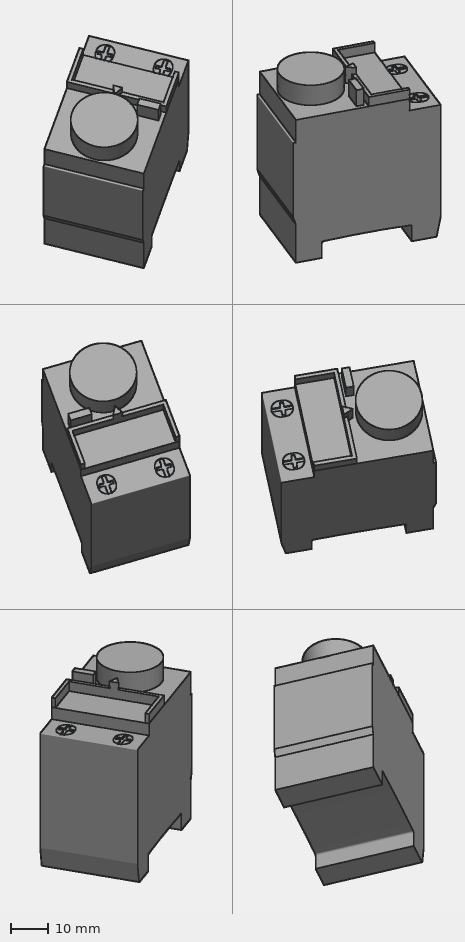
import cadquery as cq


WIDTH = 28.0
DEPTH = 42.5
PANEL_STAND_OUT = 0.75
PANEL_TOP = 37.4
PANEL_BOTTOM = 14.25
PANEL_SLOPE_BOTTOM = 11.9
DECK_Z = 44.45
TERMINAL_Z = 40.8
STEP_Y = 33.45
HEEL_HEIGHT = 6.2
HEEL_SETBACK = 1.2
EDGE_FILLET = 0.15
HEEL_FILLET = 0.4

CHANNEL_FRONT = 8.2
CHANNEL_BACK = 34.15
CHANNEL_EDGE_Z = 5.1
CHANNEL_CROWN_Z = 5.35
CHANNEL_FILLET = 0.55

DIAL_Y = 10.25
DIAL_RADIUS = 9.0
DIAL_TOP = 50.95
NECK_RADIUS = 7.3
NECK_HEIGHT = 0.3

FRAME_FRONT = 21.75
FRAME_WALL = 1.1
FRAME_HEIGHT = 2.9
MARKER_HEIGHT = 5.0
POINTER_WIDTH = 2.65
POINTER_LENGTH = 2.7

INDICATOR_X = 9.75
INDICATOR_Y = 19.7
INDICATOR_LENGTH = 6.0
INDICATOR_DEPTH = 2.15

SCREW_SPACING = 16.4
SCREW_Y = 38.0
SCREW_WIDTH = 5.0
SCREW_LENGTH = 5.9
SCREW_DEPTH = 2.05
SLOT_DEPTH = 0.5
LONG_SLOT_WIDTH = 1.05
CROSS_SLOT_WIDTH = 0.95
CROSS_SLOT_LENGTH = 3.9
CROSS_SLOT_OFFSET = -0.15
SLOT_FILLET = 0.4

screw_positions = [(side * SCREW_SPACING / 2, SCREW_Y) for side in (-1, 1)]


def housing_block():
    """Side outline of the housing, drawn in the YZ plane and extruded across the width."""
    channel_middle = (CHANNEL_FRONT + CHANNEL_BACK) / 2
    block = (
        cq.Workplane("YZ")
        .moveTo(PANEL_STAND_OUT, 0)
        .lineTo(PANEL_STAND_OUT, PANEL_SLOPE_BOTTOM)
        .lineTo(0, PANEL_BOTTOM)
        .lineTo(0, PANEL_TOP)
        .lineTo(PANEL_STAND_OUT, PANEL_TOP)
        .lineTo(PANEL_STAND_OUT, DECK_Z)
        .lineTo(STEP_Y, DECK_Z)
        .lineTo(STEP_Y, TERMINAL_Z)
        .lineTo(DEPTH, TERMINAL_Z)
        .lineTo(DEPTH, HEEL_HEIGHT)
        .lineTo(DEPTH - HEEL_SETBACK, 0)
        .lineTo(CHANNEL_BACK, 0)
        .lineTo(CHANNEL_BACK, CHANNEL_EDGE_Z)
        .threePointArc((channel_middle, CHANNEL_CROWN_Z), (CHANNEL_FRONT, CHANNEL_EDGE_Z))
        .lineTo(CHANNEL_FRONT, 0)
        .close()
        .extrude(WIDTH / 2, both=True)
    )
    rounded_corners = [
        (0, PANEL_TOP, EDGE_FILLET),
        (DEPTH, TERMINAL_Z, EDGE_FILLET),
        (DEPTH - HEEL_SETBACK, 0, HEEL_FILLET),
        (CHANNEL_FRONT, CHANNEL_EDGE_Z, CHANNEL_FILLET),
        (CHANNEL_BACK, CHANNEL_EDGE_Z, CHANNEL_FILLET),
    ]
    for y, z, radius in rounded_corners:
        corner = cq.selectors.NearestToPointSelector((0, y, z))
        block = block.edges("|X").edges(corner).fillet(radius)
    return block


def indicator_block():
    """Small rectangular block that stands on the deck and belongs to the housing."""
    return (
        cq.Workplane("XY", origin=(INDICATOR_X, INDICATOR_Y, DECK_Z))
        .rect(INDICATOR_LENGTH, INDICATOR_DEPTH)
        .extrude(MARKER_HEIGHT)
    )


def screw_blank(x, y):
    """Elongated screw head without slots, which is also the shape of its recess."""
    return (
        cq.Workplane("XY", origin=(x, y, TERMINAL_Z))
        .slot2D(SCREW_LENGTH, SCREW_WIDTH, 90)
        .extrude(-SCREW_DEPTH)
    )


def make_housing():
    """Housing with its indicator block and one fitting recess for each screw."""
    body = housing_block().union(indicator_block())
    for x, y in screw_positions:
        body = body.cut(screw_blank(x, y))
    return body


def make_dial():
    """Round knob on a short, narrower neck that rests on the deck."""
    neck = cq.Workplane("XY", origin=(0, DIAL_Y, DECK_Z)).circle(NECK_RADIUS).extrude(NECK_HEIGHT)
    knob_z = DECK_Z + NECK_HEIGHT
    knob = cq.Workplane("XY", origin=(0, DIAL_Y, knob_z)).circle(DIAL_RADIUS).extrude(DIAL_TOP - knob_z)
    return neck.union(knob)


def make_frame():
    """U-shaped frame, open to the back, with a taller pointer aimed at the dial."""
    inner_y = FRAME_FRONT + FRAME_WALL
    inner_x = WIDTH / 2 - FRAME_WALL
    frame = (
        cq.Workplane("XY", origin=(0, 0, DECK_Z))
        .moveTo(-WIDTH / 2, FRAME_FRONT)
        .lineTo(WIDTH / 2, FRAME_FRONT)
        .lineTo(WIDTH / 2, STEP_Y)
        .lineTo(inner_x, STEP_Y)
        .lineTo(inner_x, inner_y)
        .lineTo(-inner_x, inner_y)
        .lineTo(-inner_x, STEP_Y)
        .lineTo(-WIDTH / 2, STEP_Y)
        .close()
        .extrude(FRAME_HEIGHT)
    )
    pointer = (
        cq.Workplane("XY", origin=(0, inner_y, DECK_Z))
        .moveTo(-POINTER_WIDTH / 2, 0)
        .lineTo(0, -POINTER_LENGTH)
        .lineTo(POINTER_WIDTH / 2, 0)
        .close()
        .extrude(MARKER_HEIGHT)
    )
    return frame.union(pointer)


def make_screw(x, y):
    """Elongated screw head, flush with the terminal ledge, with a crossed driver recess."""
    top = cq.Workplane("XY", origin=(x, y, TERMINAL_Z))
    long_slot = top.rect(LONG_SLOT_WIDTH, SCREW_LENGTH).extrude(-SLOT_DEPTH)
    cross_slot = (
        top.center(0, CROSS_SLOT_OFFSET)
        .rect(CROSS_SLOT_LENGTH, CROSS_SLOT_WIDTH)
        .extrude(-SLOT_DEPTH)
    )
    crossing = (x, y + CROSS_SLOT_OFFSET, TERMINAL_Z - SLOT_DEPTH / 2)
    crossing_corners = cq.selectors.BoxSelector(
        tuple(place - LONG_SLOT_WIDTH for place in crossing),
        tuple(place + LONG_SLOT_WIDTH for place in crossing),
    )
    recess = long_slot.union(cross_slot).edges("|Z").edges(crossing_corners).fillet(SLOT_FILLET)
    return screw_blank(x, y).cut(recess)


housing = make_housing()
dial = make_dial()
frame = make_frame()
screws = [make_screw(x, y) for x, y in screw_positions]

result = cq.Compound.makeCompound(
    [housing.val(), dial.val(), frame.val(), *[screw.val() for screw in screws]]
)